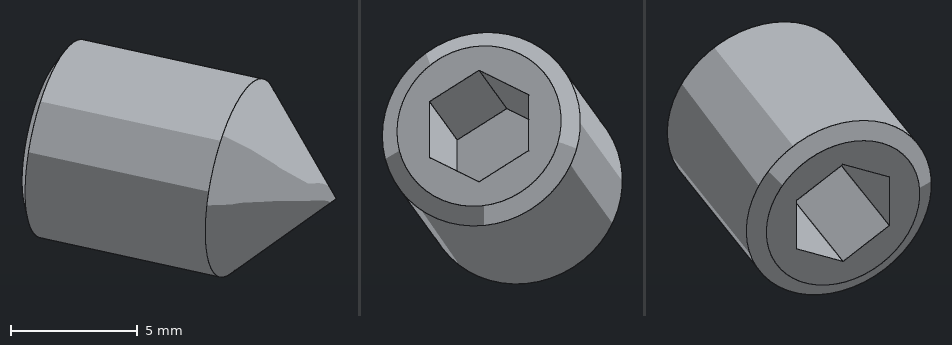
import cadquery as cq
import math

length = 12.0
diameter = length * 2 / 3
radius = diameter / 2
cone_length = radius
end_face_radius = 3.31
chamfer_angle = 30.0
chamfer_length = (radius - end_face_radius) * math.tan(math.radians(chamfer_angle))

socket_across_flats = diameter / 2
socket_across_corners = socket_across_flats / math.cos(math.radians(30))
socket_depth = 5.0


def make_body():
    """Revolve the half profile: chamfered end, cylinder and conical point."""
    return (
        cq.Workplane("XY")
        .moveTo(0, 0)
        .lineTo(0, end_face_radius)
        .lineTo(chamfer_length, radius)
        .lineTo(length - cone_length, radius)
        .lineTo(length, 0)
        .close()
        .revolve(360, (0, 0, 0), (1, 0, 0))
    )


def make_socket():
    """Blind hexagonal prism with two flats facing +Y and -Y."""
    return (
        cq.Workplane("YZ")
        .transformed(rotate=(0, 0, 90))
        .polygon(6, socket_across_corners)
        .extrude(socket_depth)
    )


result = make_body().cut(make_socket())